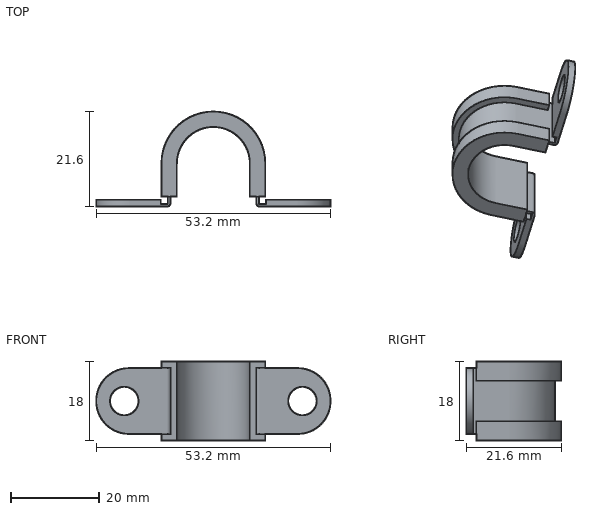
import cadquery as cq

cushion_width = 18.0
cushion_outer_radius = 11.8
cushion_inner_radius = 8.25
cushion_leg_length = 7.5
groove_width = 9.1
groove_depth = 1.45

strap_width = 15.0
strap_thickness = 0.65
strap_outer_radius = cushion_outer_radius - groove_depth
strap_inner_radius = strap_outer_radius - strap_thickness
bend_radius = 0.8

overall_length = 53.2
overall_depth = 21.6
tab_thickness = 1.6
tab_thick_start_x = 11.9
tab_end_x = overall_length / 2
tab_end_radius = strap_width / 2
tab_front_y = cushion_outer_radius - overall_depth
hole_diameter = 6.4
hole_x = 20.2


def u_band(outer_radius, inner_radius, leg_end_y, width):
    """U-shaped band, open toward -Y and centred on Z = 0."""
    outline = (
        cq.Workplane("XY")
        .workplane(offset=-width / 2)
        .moveTo(-outer_radius, leg_end_y)
        .lineTo(-outer_radius, 0)
        .threePointArc((0, outer_radius), (outer_radius, 0))
        .lineTo(outer_radius, leg_end_y)
        .lineTo(inner_radius, leg_end_y)
        .lineTo(inner_radius, 0)
        .threePointArc((0, inner_radius), (-inner_radius, 0))
        .lineTo(-inner_radius, leg_end_y)
        .close()
    )
    return outline.extrude(width)


def make_cushion():
    """Cushion with the open groove around its outside."""
    leg_end_y = -cushion_leg_length
    body = u_band(cushion_outer_radius, cushion_inner_radius, leg_end_y, cushion_width)
    groove = u_band(cushion_outer_radius, strap_outer_radius, leg_end_y, groove_width)
    return body.cut(groove)


def make_strap():
    """Thin strap around the U, down to the back of the bends."""
    bend_back_y = tab_front_y + bend_radius
    return u_band(strap_outer_radius, strap_inner_radius, bend_back_y, strap_width)


def make_tab():
    """Right-hand mounting tab with its bend, step, round end and hole."""
    front_y = tab_front_y
    profile = (
        cq.Workplane("XY")
        .workplane(offset=-strap_width / 2)
        .moveTo(strap_inner_radius, front_y + bend_radius)
        .radiusArc((strap_inner_radius + bend_radius, front_y), -bend_radius)
        .lineTo(tab_end_x, front_y)
        .lineTo(tab_end_x, front_y + tab_thickness)
        .lineTo(tab_thick_start_x, front_y + tab_thickness)
        .lineTo(tab_thick_start_x, front_y + strap_thickness)
        .lineTo(strap_outer_radius, front_y + strap_thickness)
        .lineTo(strap_outer_radius, front_y + bend_radius)
        .close()
    )
    arc_start_x = tab_end_x - tab_end_radius
    face_outline = (
        cq.Workplane("XZ", origin=(0, front_y, 0))
        .moveTo(strap_inner_radius, -tab_end_radius)
        .lineTo(arc_start_x, -tab_end_radius)
        .threePointArc((tab_end_x, 0), (arc_start_x, tab_end_radius))
        .lineTo(strap_inner_radius, tab_end_radius)
        .close()
        .extrude(-tab_thickness)
    )
    hole = (
        cq.Workplane("XZ", origin=(hole_x, front_y, 0))
        .circle(hole_diameter / 2)
        .extrude(-tab_thickness)
    )
    return profile.extrude(strap_width).intersect(face_outline).cut(hole)


right_tab = make_tab()
left_tab = right_tab.mirror("YZ")
result = make_cushion().union(make_strap()).union(right_tab).union(left_tab)